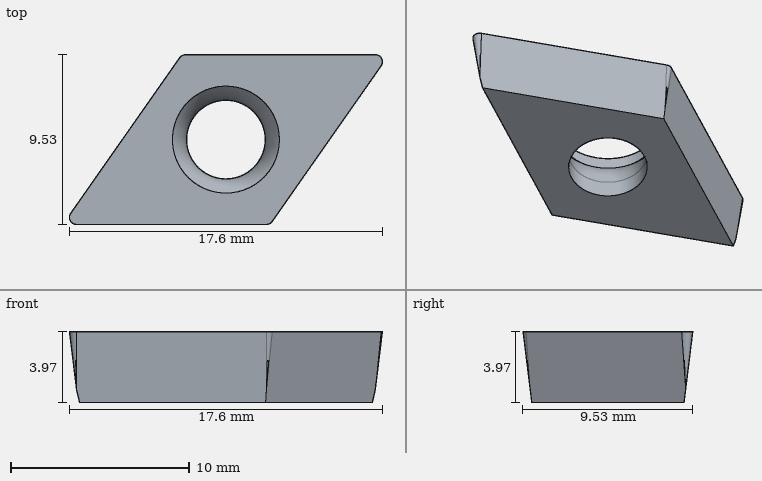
import cadquery as cq
import math

inscribed_diameter = 9.525
thickness = 3.97
corner_angle = 55.0
clearance_angle = 7.0
corner_radius = 0.4

bore_diameter = 4.4
mouth_diameter = 6.0
mouth_depth = 0.8
seat_radius = 3.0

bore_radius = bore_diameter / 2
mouth_radius = mouth_diameter / 2


def top_outline():
    """Rounded rhombus around the inscribed circle, with two sides along X."""
    half_height = inscribed_diameter / 2
    half_angle = math.radians(corner_angle / 2)
    acute_x = half_height / math.tan(half_angle)
    obtuse_x = half_height * math.tan(half_angle)
    corners = [
        (-acute_x, -half_height),
        (obtuse_x, -half_height),
        (acute_x, half_height),
        (-obtuse_x, half_height),
    ]
    return cq.Sketch().polygon(corners + corners[:1]).vertices().fillet(corner_radius)


def insert_blank():
    """Insert without its hole; the flanks lean in and the corner rounding shrinks to nothing."""
    return (
        cq.Workplane("XY", origin=(0, 0, thickness))
        .placeSketch(top_outline())
        .extrude(-thickness, taper=clearance_angle)
    )


def screw_hole():
    """Solid of revolution to remove for the screw and its head."""
    seat_center_radius = bore_radius + seat_radius
    seat_height = math.sqrt(seat_radius ** 2 - (seat_center_radius - mouth_radius) ** 2)
    seat_top = thickness - mouth_depth
    seat_bottom = seat_top - seat_height
    half_sweep = math.asin(seat_height / seat_radius) / 2
    seat_middle = (
        seat_center_radius - seat_radius * math.cos(half_sweep),
        seat_bottom + seat_radius * math.sin(half_sweep),
    )
    return (
        cq.Workplane("XZ")
        .lineTo(bore_radius, 0)
        .lineTo(bore_radius, seat_bottom)
        .threePointArc(seat_middle, (mouth_radius, seat_top))
        .lineTo(mouth_radius, thickness)
        .lineTo(0, thickness)
        .close()
        .revolve(360, (0, 0), (0, 1))
    )


result = insert_blank().cut(screw_hole())